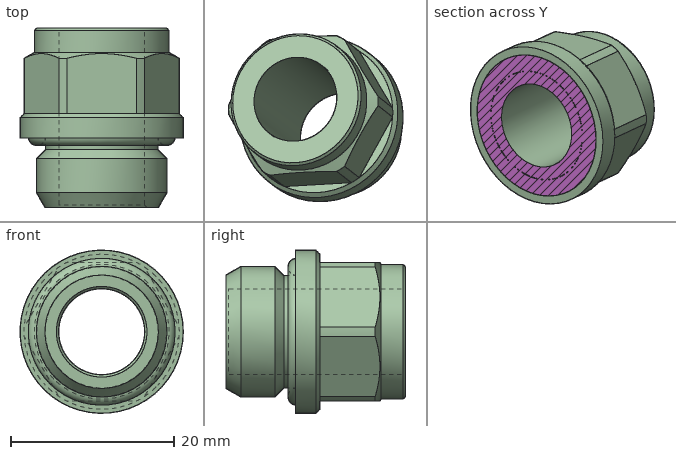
import cadquery as cq
import math


LENGTH = 22.0

BORE_RADIUS = 10.5 / 2
BORE_CHAMFER = 0.3

THREAD_RADIUS = 16.0 / 2
GROOVE_RADIUS = 13.8 / 2
THREAD_DEPTH = THREAD_RADIUS - GROOVE_RADIUS
LEAD_IN_DEPTH = 1.06
LEAD_IN_ANGLE = math.radians(30)
LEAD_IN_LENGTH = LEAD_IN_DEPTH / math.tan(LEAD_IN_ANGLE)
THREAD_END = 6.0
GROOVE_START = THREAD_END + THREAD_DEPTH

FLANGE_RADIUS = 20.0 / 2
FLANGE_START = 8.5
FLANGE_THICKNESS = 3.0
FLANGE_END = FLANGE_START + FLANGE_THICKNESS
FLANGE_CHAMFER = 0.5

SEAL_OUTER_RADIUS = 9.0
SEAL_SECTION_RADIUS = (SEAL_OUTER_RADIUS - GROOVE_RADIUS) / 2
SEAL_CENTER_RADIUS = SEAL_OUTER_RADIUS - SEAL_SECTION_RADIUS
SEAL_FRONT = 7.6
SEAL_CENTER_Y = SEAL_FRONT + SEAL_SECTION_RADIUS

COLLAR_RADIUS = 16.5 / 2
COLLAR_LENGTH = 3.0
COLLAR_CHAMFER = 0.3

HEX_ACROSS_FLATS = 17.0
HEX_ACROSS_CORNERS = HEX_ACROSS_FLATS / math.cos(math.radians(30))
HEX_TURNED_RADIUS = 19.0 / 2
HEX_END = LENGTH - COLLAR_LENGTH
HEX_CHAMFER_ANGLE = math.radians(30)
HEX_CHAMFER_LENGTH = (HEX_TURNED_RADIUS - COLLAR_RADIUS) * math.tan(HEX_CHAMFER_ANGLE)


def revolve_about_y(profile):
    """Turn a closed profile of (radius, y) points about the Y axis."""
    return cq.Workplane("XY").polyline(profile).close().revolve(360, (0, 0, 0), (0, 1, 0))


def make_turned_body():
    """Thread, groove, flange and collar as one solid of revolution."""
    return revolve_about_y([
        (0, 0),
        (THREAD_RADIUS - LEAD_IN_DEPTH, 0),
        (THREAD_RADIUS, LEAD_IN_LENGTH),
        (THREAD_RADIUS, THREAD_END),
        (GROOVE_RADIUS, GROOVE_START),
        (GROOVE_RADIUS, FLANGE_START),
        (FLANGE_RADIUS, FLANGE_START),
        (FLANGE_RADIUS, FLANGE_END - FLANGE_CHAMFER),
        (FLANGE_RADIUS - FLANGE_CHAMFER, FLANGE_END),
        (COLLAR_RADIUS, FLANGE_END),
        (COLLAR_RADIUS, LENGTH - COLLAR_CHAMFER),
        (COLLAR_RADIUS - COLLAR_CHAMFER, LENGTH),
        (0, LENGTH),
    ])


def make_hexagon():
    """Hexagonal prism with corners on +/-X, trimmed by a chamfered cylinder."""
    prism = (
        cq.Workplane("XZ", origin=(0, FLANGE_START, 0))
        .polygon(6, HEX_ACROSS_CORNERS)
        .extrude(-(HEX_END - FLANGE_START))
    )
    envelope = revolve_about_y([
        (0, FLANGE_START),
        (HEX_TURNED_RADIUS, FLANGE_START),
        (HEX_TURNED_RADIUS, HEX_END - HEX_CHAMFER_LENGTH),
        (COLLAR_RADIUS, HEX_END),
        (0, HEX_END),
    ])
    return prism.intersect(envelope)


def make_seal():
    """Seal ring of round section in front of the flange."""
    return (
        cq.Workplane("XY")
        .center(SEAL_CENTER_RADIUS, SEAL_CENTER_Y)
        .circle(SEAL_SECTION_RADIUS)
        .revolve(360, (-SEAL_CENTER_RADIUS, 0, 0), (-SEAL_CENTER_RADIUS, 1, 0))
    )


def make_bore():
    """Through bore with a chamfered mouth at the threaded end."""
    return revolve_about_y([
        (0, 0),
        (BORE_RADIUS + BORE_CHAMFER, 0),
        (BORE_RADIUS, BORE_CHAMFER),
        (BORE_RADIUS, LENGTH),
        (0, LENGTH),
    ])


result = make_turned_body().union(make_hexagon()).union(make_seal()).cut(make_bore())